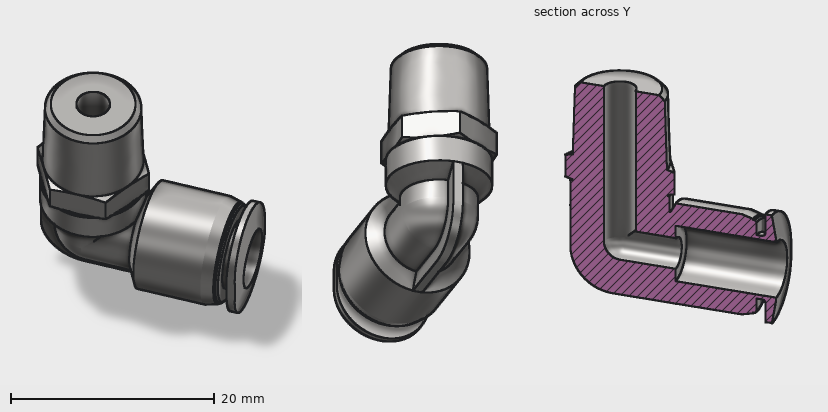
import cadquery as cq
import math


overall_length = 22.27

bore_radius = 3.3 / 2
tube_radius = 6.0 / 2

stem_top = 17.0
gauge_radius = 9.728 / 2
gauge_distance = 4.0
taper_slope = 1 / 32
stem_tip_radius = 8.35 / 2
stem_chamfer_height = 0.57

hex_across_flats = 10.0
hex_corner_radius = hex_across_flats / math.sqrt(3)
hex_bottom = 6.2
hex_top = 9.0
hex_chamfer_angle = 15.0

collar_radius = 10.5 / 2
collar_bottom = 3.4
collar_top = 6.15
hex_neck_radius = 10.16 / 2
elbow_radius = 7.7 / 2

body_radius = 11.0 / 2
body_start = 5.9
shoulder_angle = 60.0
shoulder_length = (body_radius - elbow_radius) / math.tan(math.radians(shoulder_angle))
nose_start = 12.85
nose_end = 14.05
nose_angle = 15.0
nose_radius = body_radius - (nose_end - nose_start) * math.tan(math.radians(nose_angle))
lip_radius = 10.16 / 2
body_end = 14.44
lip_chamfer = 0.2

neck_radius = 7.0 / 2
button_fillet = 0.4
button_start = 15.33
button_rim_end = 16.04
button_end = overall_length - hex_corner_radius
button_face_radius = 3.3
button_side_radius = 4.9
button_half_flat = 1.0

rib_thickness = 1.0
rib_corner_radius = 4.5


def stem_radius(height):
    """Radius of the tapered thread at a height on the Z axis."""
    return gauge_radius + (stem_top - gauge_distance - height) * taper_slope


def revolve_about_z(profile):
    """Turn a closed list of (radius, z) points about the Z axis."""
    return cq.Workplane("XZ").polyline(profile).close().revolve(360, (0, 0), (0, 1))


def revolve_about_x(profile):
    """Turn a closed list of (x, radius) points about the X axis."""
    return cq.Workplane("XZ").polyline(profile).close().revolve(360, (0, 0), (1, 0))


def make_stem():
    chamfer_start = stem_top - stem_chamfer_height
    return revolve_about_z([
        (0, hex_top),
        (stem_radius(hex_top), hex_top),
        (stem_radius(chamfer_start), chamfer_start),
        (stem_tip_radius, stem_top),
        (0, stem_top),
    ])


def make_hexagon():
    prism = (
        cq.Workplane("XY", origin=(0, 0, hex_bottom))
        .polygon(6, 2 * hex_corner_radius)
        .extrude(hex_top - hex_bottom)
    )
    flat_radius = hex_across_flats / 2
    chamfer_height = (hex_corner_radius - flat_radius) * math.tan(math.radians(hex_chamfer_angle))
    corner_limit = revolve_about_z([
        (0, hex_bottom),
        (flat_radius, hex_bottom),
        (hex_corner_radius, hex_bottom + chamfer_height),
        (hex_corner_radius, hex_top - chamfer_height),
        (flat_radius, hex_top),
        (0, hex_top),
    ])
    return prism.intersect(corner_limit)


def make_elbow():
    upright = revolve_about_z([
        (0, 0),
        (elbow_radius, 0),
        (elbow_radius, collar_bottom - (collar_radius - elbow_radius)),
        (collar_radius, collar_bottom),
        (collar_radius, collar_top),
        (hex_neck_radius, collar_top),
        (hex_neck_radius, hex_bottom),
        (0, hex_bottom),
    ])
    knuckle = cq.Workplane("XY").sphere(elbow_radius)
    return upright.union(knuckle)


def make_socket():
    return revolve_about_x([
        (0, 0),
        (0, elbow_radius),
        (body_start - shoulder_length, elbow_radius),
        (body_start, body_radius),
        (nose_start, body_radius),
        (nose_end, nose_radius),
        (nose_end, lip_radius),
        (body_end - lip_chamfer, lip_radius),
        (body_end, lip_radius - lip_chamfer),
        (body_end, 0),
    ])


def make_rib():
    left = -collar_radius
    bottom = -body_radius
    bend = rib_corner_radius * (1 - math.sqrt(0.5))
    return (
        cq.Workplane("XZ")
        .moveTo(0, collar_bottom)
        .lineTo(left, collar_bottom)
        .lineTo(left, bottom + rib_corner_radius)
        .threePointArc((left + bend, bottom + bend), (left + rib_corner_radius, bottom))
        .lineTo(body_start, bottom)
        .lineTo(body_start, 0)
        .lineTo(0, 0)
        .close()
        .extrude(rib_thickness / 2, both=True)
    )


def make_button():
    """Neck and oval flange, with the flange's outer face turned to a shallow cone."""
    rim_radius = button_side_radius + button_half_flat
    neck = (
        cq.Workplane("YZ", origin=(body_end, 0, 0))
        .circle(neck_radius)
        .extrude(button_start - body_end)
    )
    bend = button_fillet * (1 - math.sqrt(0.5))
    root = (
        cq.Workplane("XZ")
        .moveTo(button_start, 0)
        .lineTo(button_start - button_fillet, 0)
        .lineTo(button_start - button_fillet, neck_radius)
        .threePointArc(
            (button_start - bend, neck_radius + bend),
            (button_start, neck_radius + button_fillet),
        )
        .close()
        .revolve(360, (0, 0), (1, 0))
    )
    oval = (
        cq.Workplane("YZ", origin=(button_start, 0, 0))
        .slot2D(2 * rim_radius, 2 * button_side_radius, 90)
        .extrude(button_end - button_start)
    )
    face_cone = revolve_about_x([
        (button_start, 0),
        (button_start, rim_radius),
        (button_rim_end, rim_radius),
        (button_end, button_face_radius),
        (button_end, 0),
    ])
    return neck.union(root).union(oval.intersect(face_cone))


def make_passage():
    upright = cq.Workplane("XY").circle(bore_radius).extrude(stem_top)
    level = cq.Workplane("YZ").circle(bore_radius).extrude(body_start)
    turn = cq.Workplane("XY").sphere(bore_radius)
    tube_socket = (
        cq.Workplane("YZ", origin=(body_start, 0, 0))
        .circle(tube_radius)
        .extrude(button_end - body_start)
    )
    return upright.union(level).union(turn).union(tube_socket)


result = (
    make_elbow()
    .union(make_socket())
    .union(make_rib())
    .union(make_hexagon())
    .union(make_stem())
    .union(make_button())
    .cut(make_passage())
)